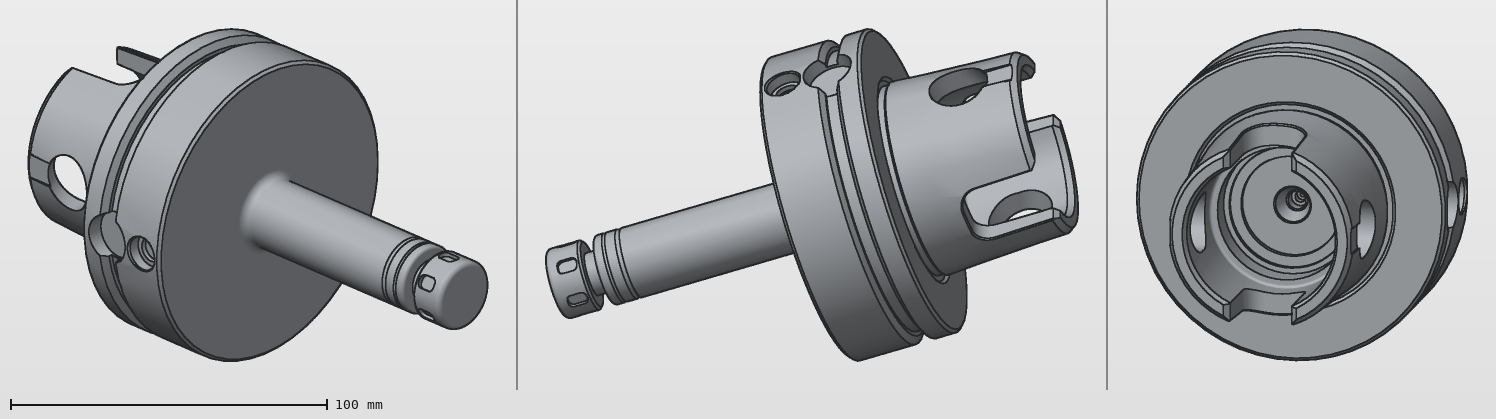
import cadquery as cq
import math

overall_length = 165.0

taper_base_x = 42.9
taper_base_radius = 31.8
taper_ratio = 0.05
taper_tip_chamfer_length = 2.1
taper_tip_chamfer_depth = 1.5
taper_relief_radius = 31.2

flange_front_x = 44.9
flange_back_x = 78.9
flange_radius = 50.0
flange_chamfer = 1.0
face_groove_radius = 34.0
face_groove_floor_radius = 33.0
face_groove_depth = 1.0

grip_left_x = 52.3
grip_right_x = 59.2
grip_chamfer_length = 1.5
grip_chamfer_depth = 2.5
grip_floor_radius = 46.2

stem_radius = 23.0 / 2
stem_end_x = 148.8
stem_root_fillet = 2.8
stem_end_fillet = 1.2
stem_groove_depth = 0.3
wide_groove = (139.8, 141.2)
narrow_groove = (144.7, 145.7)

neck_radius = 14.0 / 2
nut_x = 153.1
nut_back_chamfer = 0.8
nut_front_fillet = 1.8
nut_pocket_count = 6
nut_pocket_length = 6.5
nut_pocket_width = 4.5
nut_pocket_corner_radius = 1.6
nut_pocket_depth = 1.5
nut_pocket_x = 157.9

bore_radius = 24.1
bore_mouth_radius = 25.0
bore_mouth_length = 2.1
bore_end_x = 35.1
bore_end_fillet = 1.0
bore_steps = [(21.5, 44.0), (19.6, 45.7), (16.2, 47.8)]
bore_floor_x = bore_steps[-1][1]

socket_mouth_radius = 12.0 / 2
socket_radius = 11.2 / 2
socket_mouth_length = 0.5
socket_cone_end_x = 54.5
socket_cone_end_radius = 7.0 / 2
pilot_radius = 5.8 / 2
pilot_end_x = 59.4
nozzle_radius = 3.5 / 2
nozzle_end_x = 62.7
jet_radius = 1.6 / 2
jet_end_x = 66.0

slot_width = 20.0
slot_end_x = 26.7
slot_corner_radius = 6.0
slot_mouth_chamfer = 1.8
slot_edge_chamfer = 0.5

cross_hole_x = 19.3
cross_hole_radius = 18.5 / 2
relief_tilt = 25.0
relief_start_y = 28.0
relief_length = 13.2
flat_width = 8.2
flat_y = 29.2
index_hole_x = 56.0
index_hole_radius = 16.0 / 2
index_hole_floor_y = 44.5
screw_hole_x = 71.0
screw_mouth_radius = 12.0 / 2
screw_radius = 11.2 / 2
screw_mouth_length = 0.8
screw_floor_y = 45.5
screw_core_radius = 8.0 / 2
screw_core_floor_y = 43.9


def taper_radius(x):
    return taper_base_radius - taper_ratio * (taper_base_x - x)


def revolve_about_x(profile):
    return profile.close().revolve(360, (0, 0, 0), (1, 0, 0))


def make_taper_and_flange():
    tip_radius = taper_radius(taper_tip_chamfer_length)
    relief_end_x = flange_front_x + face_groove_depth
    profile = (
        cq.Workplane("XY")
        .lineTo(0, tip_radius - taper_tip_chamfer_depth)
        .lineTo(taper_tip_chamfer_length, tip_radius)
        .lineTo(taper_base_x, taper_base_radius)
        .lineTo(taper_base_x + taper_base_radius - taper_relief_radius, taper_relief_radius)
        .lineTo(relief_end_x, taper_relief_radius)
        .lineTo(relief_end_x, face_groove_floor_radius)
        .lineTo(flange_front_x, face_groove_radius)
        .lineTo(flange_front_x, flange_radius - flange_chamfer)
        .lineTo(flange_front_x + flange_chamfer, flange_radius)
        .lineTo(grip_left_x, flange_radius)
        .lineTo(grip_left_x + grip_chamfer_length, flange_radius - grip_chamfer_depth)
        .lineTo(grip_left_x + grip_chamfer_length, grip_floor_radius)
        .lineTo(grip_right_x - grip_chamfer_length, grip_floor_radius)
        .lineTo(grip_right_x - grip_chamfer_length, flange_radius - grip_chamfer_depth)
        .lineTo(grip_right_x, flange_radius)
        .lineTo(flange_back_x - flange_chamfer, flange_radius)
        .lineTo(flange_back_x, flange_radius - flange_chamfer)
        .lineTo(flange_back_x, 0)
    )
    return revolve_about_x(profile)


def add_round_groove(profile, span):
    start_x, end_x = span
    return (
        profile.lineTo(start_x, stem_radius)
        .threePointArc(((start_x + end_x) / 2, stem_radius - stem_groove_depth), (end_x, stem_radius))
    )


def make_stem_and_nut():
    root_radius = stem_radius + stem_root_fillet
    nut_fillet_start_x = overall_length - nut_front_fillet
    profile = (
        cq.Workplane("XY")
        .moveTo(flange_back_x, 0)
        .lineTo(flange_back_x, root_radius)
        .radiusArc((flange_back_x + stem_root_fillet, stem_radius), -stem_root_fillet)
    )
    for span in (wide_groove, narrow_groove):
        profile = add_round_groove(profile, span)
    profile = (
        profile.lineTo(stem_end_x - stem_end_fillet, stem_radius)
        .radiusArc((stem_end_x, stem_radius - stem_end_fillet), stem_end_fillet)
        .lineTo(stem_end_x, neck_radius)
        .lineTo(nut_x, neck_radius)
        .lineTo(nut_x, stem_radius - nut_back_chamfer)
        .lineTo(nut_x + nut_back_chamfer, stem_radius)
        .lineTo(nut_fillet_start_x, stem_radius)
        .radiusArc((overall_length, stem_radius - nut_front_fillet), nut_front_fillet)
        .lineTo(overall_length, 0)
    )
    return revolve_about_x(profile)


def make_bore():
    profile = (
        cq.Workplane("XY")
        .lineTo(0, bore_mouth_radius)
        .lineTo(bore_mouth_length, bore_radius)
        .lineTo(bore_end_x - bore_end_fillet, bore_radius)
        .radiusArc((bore_end_x, bore_radius - bore_end_fillet), bore_end_fillet)
    )
    step_x = bore_end_x
    for radius, end_x in bore_steps:
        profile = profile.lineTo(step_x, radius).lineTo(end_x, radius)
        step_x = end_x
    profile = (
        profile.lineTo(bore_floor_x, socket_mouth_radius)
        .lineTo(bore_floor_x + socket_mouth_length, socket_radius)
        .lineTo(socket_cone_end_x, socket_cone_end_radius)
        .lineTo(socket_cone_end_x, pilot_radius)
        .lineTo(pilot_end_x, pilot_radius)
        .lineTo(pilot_end_x, nozzle_radius)
        .lineTo(nozzle_end_x, nozzle_radius)
        .lineTo(nozzle_end_x, jet_radius)
        .lineTo(jet_end_x, jet_radius)
        .lineTo(jet_end_x, 0)
    )
    return revolve_about_x(profile)


def make_drive_slot():
    return (
        cq.Workplane("XY")
        .box(slot_end_x, slot_width, 2 * flange_radius)
        .translate((slot_end_x / 2, 0, 0))
        .edges("|Z and >X")
        .fillet(slot_corner_radius)
    )


def slot_rim_selector():
    """Outer edges of both slots, from the tip chamfer to the rounded slot end."""
    end_x = slot_end_x + slot_edge_chamfer
    upper = cq.selectors.BoxSelector(
        (taper_tip_chamfer_length, -slot_width, bore_radius),
        (end_x, slot_width, flange_radius),
    )
    lower = cq.selectors.BoxSelector(
        (taper_tip_chamfer_length, -slot_width, -flange_radius),
        (end_x, slot_width, -bore_radius),
    )
    return upper + lower


def make_slot_mouth():
    half_width = slot_width / 2
    return (
        cq.Workplane("XY")
        .moveTo(0, half_width + slot_mouth_chamfer)
        .lineTo(slot_mouth_chamfer, half_width)
        .lineTo(slot_mouth_chamfer, -half_width)
        .lineTo(0, -half_width - slot_mouth_chamfer)
        .close()
        .extrude(flange_radius, both=True)
    )


def make_side_hole(x, radius, floor_y):
    """Round blind hole from the -Y side, with its flat floor at y = -floor_y."""
    return (
        cq.Workplane("XZ", origin=(x, -floor_y, 0))
        .circle(radius)
        .extrude(flange_radius - floor_y)
    )


def make_screw_hole():
    mouth = make_side_hole(screw_hole_x, screw_radius, screw_floor_y)
    core = make_side_hole(screw_hole_x, screw_core_radius, screw_core_floor_y)
    chamfer = cq.Workplane("XY").add(
        cq.Solid.makeCone(
            screw_mouth_radius,
            screw_radius,
            screw_mouth_length,
            cq.Vector(screw_hole_x, -flange_radius, 0),
            cq.Vector(0, 1, 0),
        )
    )
    return mouth.union(core).union(chamfer)


def make_taper_flat():
    flat_depth = taper_base_radius - flat_y
    return cq.Workplane("XY").box(cross_hole_x, flat_depth, flat_width).translate(
        (cross_hole_x / 2, -flat_y - flat_depth / 2, 0)
    )


def make_cross_hole_relief():
    tilt = math.radians(relief_tilt)
    return cq.Workplane("XY").add(
        cq.Solid.makeCylinder(
            cross_hole_radius,
            relief_length,
            cq.Vector(cross_hole_x, -relief_start_y, 0),
            cq.Vector(-math.sin(tilt), math.cos(tilt), 0),
        )
    )


def make_side_cuts():
    return (
        make_side_hole(index_hole_x, index_hole_radius, index_hole_floor_y)
        .union(make_screw_hole())
        .union(make_taper_flat())
        .union(make_cross_hole_relief())
    )


def make_nut_pocket():
    floor_z = stem_radius - nut_pocket_depth
    return (
        cq.Workplane("XY", origin=(nut_pocket_x, 0, floor_z))
        .rect(nut_pocket_length, nut_pocket_width)
        .extrude(2 * nut_pocket_depth)
        .edges("|Z")
        .fillet(nut_pocket_corner_radius)
    )


body = make_taper_and_flange()
body = body.cut(make_drive_slot())
body = body.edges(slot_rim_selector()).chamfer(slot_edge_chamfer)
body = body.cut(make_slot_mouth())
body = body.cut(make_bore())
body = body.union(make_stem_and_nut())

cross_hole = (
    cq.Workplane("XZ", origin=(cross_hole_x, 0, 0))
    .circle(cross_hole_radius)
    .extrude(flange_radius, both=True)
)
body = body.cut(cross_hole)

side_cuts = make_side_cuts()
for side_angle in (0, 180):
    body = body.cut(side_cuts.rotate((0, 0, 0), (1, 0, 0), side_angle))

nut_pocket = make_nut_pocket()
for index in range(nut_pocket_count):
    pocket_angle = index * 360 / nut_pocket_count
    body = body.cut(nut_pocket.rotate((0, 0, 0), (1, 0, 0), pocket_angle))

result = body